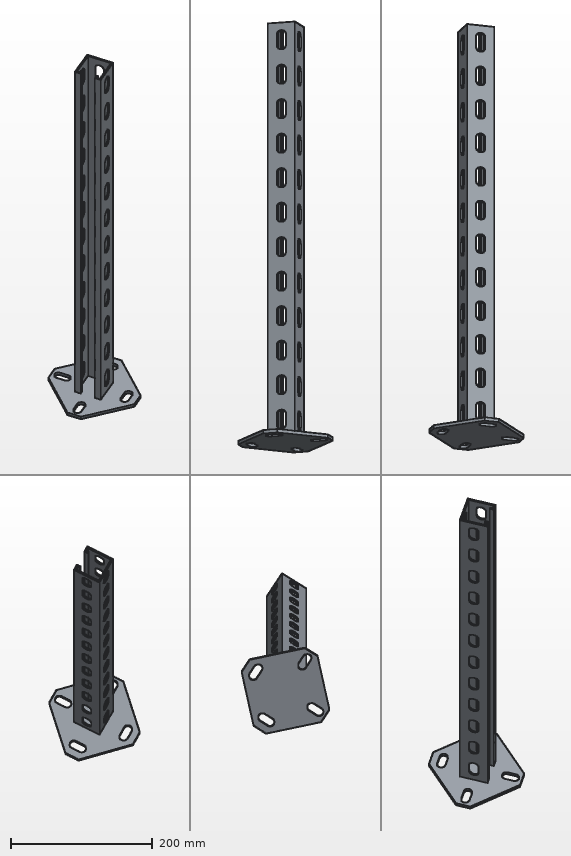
import cadquery as cq

total_height = 605.0
plate_thickness = 5.0
post_height = total_height - plate_thickness

plate_span = 134.5
plate_corner_flat = 21.0
plate_slot_distance = 50.0
plate_slot_length = 25.0
plate_slot_width = 12.0

post_width = 40.5
post_depth = 41.0
post_wall = 2.3
post_center_y = -1.7
lip_width = 9.0
lip_return = 6.0

post_slot_count = 12
post_slot_pitch = post_height / post_slot_count
post_slot_length = 28.0
post_slot_width = 14.0


def make_plate_slot(x, y, angle):
    slot = cq.Workplane("XY").center(x, y).slot2D(plate_slot_length, plate_slot_width, angle)
    return slot.extrude(plate_thickness)


def make_base_plate():
    half_span = plate_span / 2
    half_flat = plate_corner_flat / 2
    outline = [
        (half_span, -half_flat),
        (half_span, half_flat),
        (half_flat, half_span),
        (-half_flat, half_span),
        (-half_span, half_flat),
        (-half_span, -half_flat),
        (-half_flat, -half_span),
        (half_flat, -half_span),
    ]
    plate = cq.Workplane("XY").polyline(outline).close().extrude(plate_thickness)

    slot_places = [
        (-plate_slot_distance, 0, 0),
        (0, -plate_slot_distance, 90),
        (plate_slot_distance, 0, 90),
        (0, plate_slot_distance, 0),
    ]
    for x, y, angle in slot_places:
        plate = plate.cut(make_plate_slot(x, y, angle))
    return plate


def make_channel():
    outer_x = post_width / 2
    inner_x = outer_x - post_wall
    lip_x = outer_x - lip_width
    return_x = lip_x + post_wall
    front_y = post_center_y - post_depth / 2
    back_y = post_center_y + post_depth / 2
    return_y = front_y + lip_return

    half_section = [
        (0, back_y),
        (outer_x, back_y),
        (outer_x, front_y),
        (lip_x, front_y),
        (lip_x, return_y),
        (return_x, return_y),
        (return_x, front_y + post_wall),
        (inner_x, front_y + post_wall),
        (inner_x, back_y - post_wall),
        (0, back_y - post_wall),
    ]
    base = cq.Workplane("XY").workplane(offset=plate_thickness)
    half = base.polyline(half_section).close().extrude(post_height)
    return half.union(half.mirror("YZ")).clean()


def make_post():
    slot_heights = [plate_thickness + (i + 0.5) * post_slot_pitch for i in range(post_slot_count)]

    side_slots = (
        cq.Workplane("YZ")
        .pushPoints([(post_center_y, z) for z in slot_heights])
        .slot2D(post_slot_length, post_slot_width, 90)
        .extrude(post_width / 2, both=True)
    )
    back_slots = (
        cq.Workplane("XZ", origin=(0, post_center_y, 0))
        .pushPoints([(0, z) for z in slot_heights])
        .slot2D(post_slot_length, post_slot_width, 90)
        .extrude(-post_depth / 2)
    )
    return make_channel().cut(side_slots).cut(back_slots)


base_plate = make_base_plate()
post = make_post()

result = cq.Compound.makeCompound([base_plate.solids().val(), post.solids().val()])